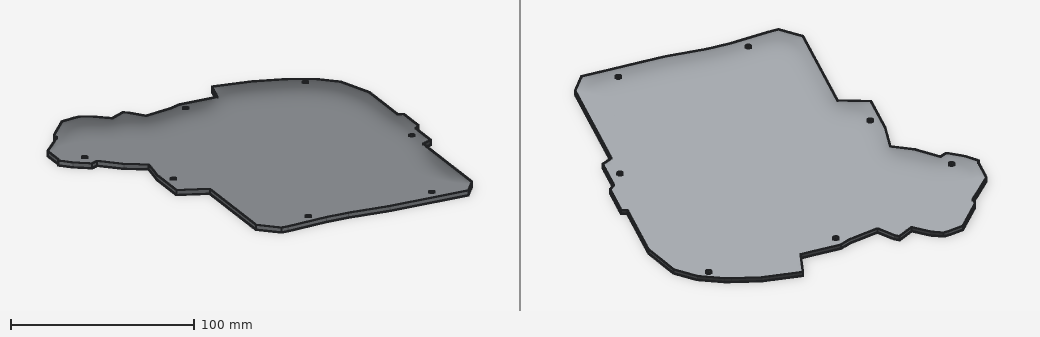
import cadquery as cq

width = 191.73
depth = 197.5
thickness = 3.0
hole_diameter = 3.0

right_x = width / 2
left_x = -right_x
top_y = depth / 2
bottom_y = -top_y

shoulder_y = 95.6
upper_right_y = 89.5
lower_right_y = -42.7
front_tab_y = -59.7
thumb_end_y = -98.0
left_wall_x = -81.8
waist_x = 93.9

back_edge = [
    (-50.1, shoulder_y),
    (-15.8, shoulder_y),
    (-14.6, top_y),
    (3.4, top_y),
    (6.0, shoulder_y),
    (24.2, shoulder_y),
    (27.1, upper_right_y),
    (86.0, upper_right_y),
]

right_edge = [
    (right_x, 82.3),
    (right_x, 34.3),
    (waist_x, 9.8),
    (waist_x, -3.4),
    (right_x, -28.0),
    (right_x, -32.0),
]

front_edge = [
    (86.1, lower_right_y),
    (30.2, lower_right_y),
    (23.5, front_tab_y),
    (0.3, front_tab_y),
    (-15.0, -57.2),
    (-21.8, -68.9),
    (-32.2, -80.1),
    (-30.3, -84.1),
    (-36.2, -92.8),
]

thumb_lobe = [
    (-42.3, bottom_y),
    (-43.2, thumb_end_y),
    (-56.6, thumb_end_y),
    (-71.4, -84.6),
    (-73.2, -85.4),
    (-75.0, -84.7),
    (-89.8, -72.4),
    (-91.2, -63.9),
    (-91.4, -60.8),
    (-88.2, -54.3),
    (-81.3, -45.8),
    (-86.1, -37.0),
    (-84.3, -34.6),
    (-76.0, -27.9),
]

left_edge = [
    (-79.3, -10.7),
    (left_wall_x, -4.6),
    (left_wall_x, 18.7),
    (left_x, 22.4),
    (-93.1, 40.7),
    (-92.5, 44.9),
    (-87.6, 60.8),
    (-86.3, 64.5),
    (-79.6, 77.9),
    (-70.2, 88.2),
]

hole_centres = [
    (13.8, 89.3),
    (-78.4, 70.9),
    (88.7, 63.5),
    (-75.8, -3.8),
    (88.1, -11.7),
    (8.7, -54.0),
    (-39.9, -83.8),
]


def make_plate():
    outline = back_edge + right_edge + front_edge + thumb_lobe + left_edge
    plate = cq.Workplane("XY").workplane(offset=-thickness / 2)
    return plate.polyline(outline).close().extrude(thickness)


def drill_holes(plate):
    top_face = plate.faces(">Z").workplane(origin=(0, 0, 0))
    return top_face.pushPoints(hole_centres).hole(hole_diameter)


result = drill_holes(make_plate())